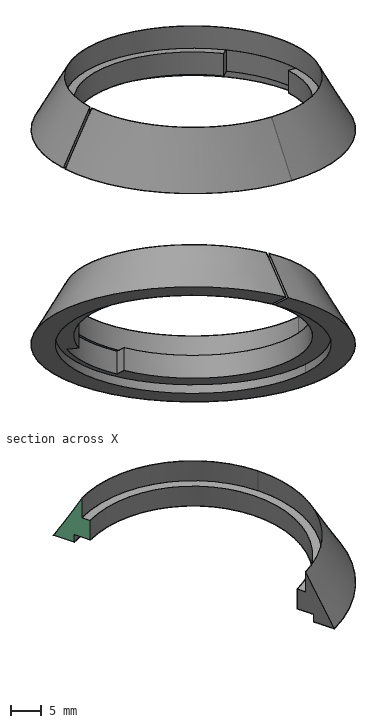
import cadquery as cq
import math

height = 9.5
base_radius = 26.6
bore_radius = 21.1

ledge_inner_radius = 19.55
ledge_bottom = 1.5
ledge_top = 5.5

counterbore_radius = 22.6

opening_radius = 21.6
opening_start_angle = 90.0
opening_end_angle = 128.0

slit_width = 0.5


def make_collar():
    """Half section of cone, bore, ledge and counterbore, revolved about Z."""
    section = [
        (bore_radius, height),
        (bore_radius, ledge_top),
        (ledge_inner_radius, ledge_top),
        (ledge_inner_radius, ledge_bottom),
        (counterbore_radius, ledge_bottom),
        (counterbore_radius, 0),
        (base_radius, 0),
    ]
    return cq.Workplane("XZ").polyline(section).close().revolve(360, (0, 0, 0), (0, 1, 0))


def make_opening():
    """Pie-shaped sector that interrupts the ledge over its full height."""

    def rim_point(angle):
        radians = math.radians(angle)
        return (opening_radius * math.cos(radians), opening_radius * math.sin(radians))

    middle_angle = (opening_start_angle + opening_end_angle) / 2
    return (
        cq.Workplane("XY", origin=(0, 0, ledge_bottom))
        .lineTo(*rim_point(opening_start_angle))
        .threePointArc(rim_point(middle_angle), rim_point(opening_end_angle))
        .close()
        .extrude(ledge_top - ledge_bottom)
    )


def make_slit():
    """Thin radial cut through the whole -Y wall."""
    return cq.Workplane("XY").center(0, -base_radius / 2).rect(slit_width, base_radius).extrude(height)


result = make_collar().cut(make_opening()).cut(make_slit())